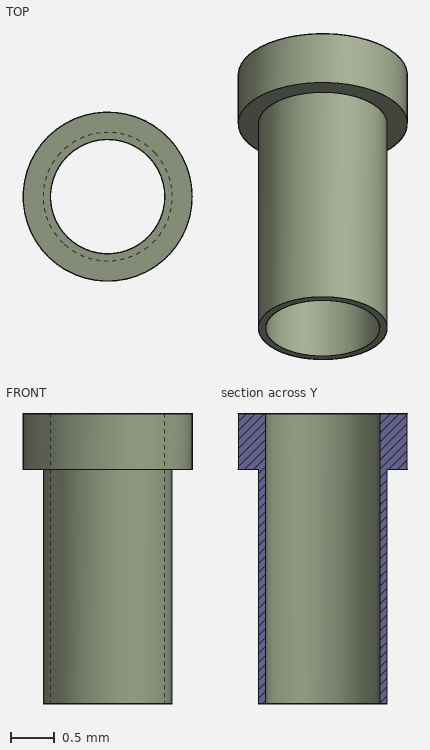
import cadquery as cq

total_height = 3.31
head_height = 0.64
head_diameter = 1.93
shank_diameter = 1.47
bore_diameter = 1.3

shank_height = total_height - head_height

shank = cq.Workplane("XY").circle(shank_diameter / 2).extrude(shank_height)

head = (
    cq.Workplane("XY")
    .workplane(offset=shank_height)
    .circle(head_diameter / 2)
    .extrude(head_height)
)

bore = cq.Workplane("XY").circle(bore_diameter / 2).extrude(total_height)

result = shank.union(head).cut(bore)